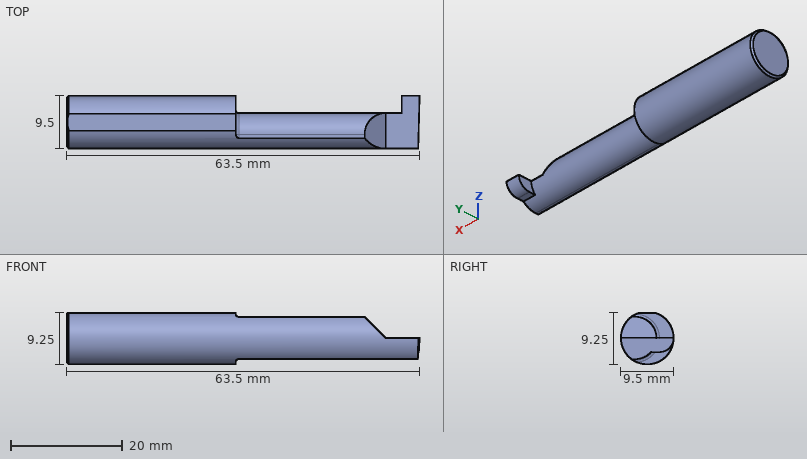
import cadquery as cq
import math

total_length = 63.5
bar_radius = 4.75
entry_chamfer = 0.4
shank_length = 30.4
shank_flat_height = 4.5

neck_radius = 3.8
neck_side = 1.65
root_radius = 0.5

cutting_plane = 0.0
flat_start = 57.4
hook_width = 3.25
hook_radius = 2.55
side_relief_angle = 1.5
end_relief_angle = 2.5

neck_center = neck_side - neck_radius
hook_start = total_length - hook_width
bar_diameter = 2 * bar_radius
margin = bar_diameter


def make_bar():
    """Round bar, chamfered at its shank end."""
    bar = cq.Workplane("YZ").circle(bar_radius).extrude(total_length)
    return bar.faces("<X").chamfer(entry_chamfer)


def make_block(x_start, x_end, y_start, y_end, z_start, z_end):
    """Box between two opposite corners."""
    size = (x_end - x_start, y_end - y_start, z_end - z_start)
    return cq.Workplane("XY").box(*size, centered=False).translate((x_start, y_start, z_start))


def make_shank_envelope():
    """Block over the shank, topped by the clamping flat."""
    return make_block(0, shank_length, -margin, margin, -margin, shank_flat_height)


def make_neck_envelope():
    """Flat-sided neck with a round +Y side, blended into the shank shoulder."""
    neck = (
        cq.Workplane("YZ", origin=(shank_length, 0, 0))
        .moveTo(-margin, -neck_radius)
        .lineTo(neck_center, -neck_radius)
        .threePointArc((neck_side, 0), (neck_center, neck_radius))
        .lineTo(-margin, neck_radius)
        .close()
        .extrude(total_length - shank_length)
    )
    shoulder = make_block(0, shank_length, -margin, margin, -margin, margin)
    root = cq.selectors.BoxSelector(
        (shank_length - root_radius / 2, -margin / 2, -bar_radius),
        (shank_length + root_radius / 2, bar_radius, bar_radius),
    )
    blended = shoulder.union(neck).edges(root).fillet(root_radius)
    beyond_shank = make_block(shank_length, total_length, -margin, margin, -margin, margin)
    return blended.intersect(beyond_shank)


def make_hook_envelope():
    """Cutting hook reaching out to the +Y side, rounded away below its tip for clearance."""
    hook_center = bar_radius - hook_radius
    return (
        cq.Workplane("YZ", origin=(hook_start, 0, 0))
        .moveTo(neck_center, cutting_plane)
        .lineTo(bar_radius, cutting_plane)
        .radiusArc((hook_center, cutting_plane - hook_radius), hook_radius)
        .lineTo(neck_center, cutting_plane - hook_radius)
        .close()
        .extrude(hook_width)
    )


def make_ramp_cut():
    """Space above the head flat and its 45 degree run-up."""
    return (
        cq.Workplane("XZ")
        .moveTo(flat_start, cutting_plane)
        .lineTo(total_length + margin, cutting_plane)
        .lineTo(total_length + margin, cutting_plane + margin)
        .lineTo(flat_start - margin, cutting_plane + margin)
        .close()
        .extrude(margin, both=True)
    )


def make_end_relief():
    """Space beyond the end face, which leans back from the cutting corner."""
    tip = (total_length, bar_radius, cutting_plane)
    side_slope = math.tan(math.radians(side_relief_angle))
    end_slope = math.tan(math.radians(end_relief_angle))
    end_plane = cq.Plane(origin=tip, xDir=(side_slope, 1, 0), normal=(1, -side_slope, -end_slope))
    return cq.Workplane(end_plane).rect(4 * margin, 4 * margin).extrude(margin)


envelope = make_shank_envelope().union(make_neck_envelope()).union(make_hook_envelope())
result = make_bar().intersect(envelope).cut(make_ramp_cut()).cut(make_end_relief())